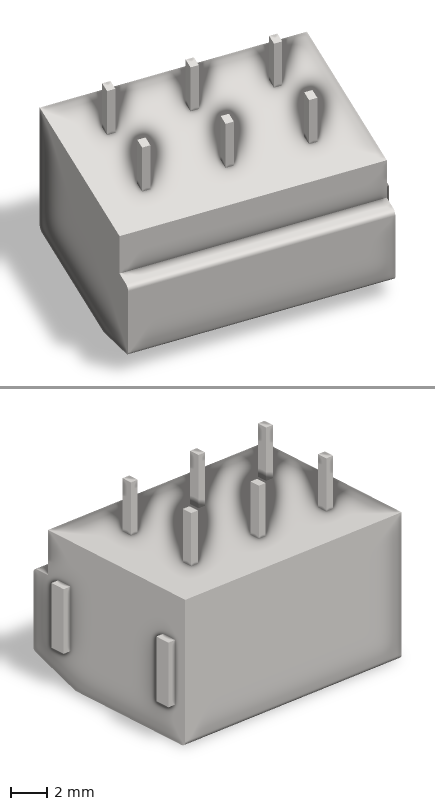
import cadquery as cq
import math

total_width = 12.6
total_depth = 16.5
total_height = 12.4

pin_length = 3.3
tab_thickness = 0.5
body_height = total_height - pin_length
body_depth = total_depth - tab_thickness
top_width = 11.38
step_drop = 2.8
step_height = body_height - step_drop
slope_start = 9.1
slope_angle = 19.0
slope_rise = (total_width - slope_start) * math.tan(math.radians(slope_angle))
edge_radius = 0.3

pin_width = 0.7
pin_depth = 0.5
pin_pitch = 5.0
pin_columns = 2
pin_rows = 3
first_row_y = 2.8
first_column_x = 3.17

tab_width = 1.0
tab_height = 4.01
tab_inset = 0.84


def make_housing():
    """Stepped block with a sloped lower-right edge and three rounded edges."""
    profile = [
        (0, 0),
        (slope_start, 0),
        (total_width, slope_rise),
        (total_width, step_height),
        (top_width, step_height),
        (top_width, body_height),
        (0, body_height),
    ]
    block = cq.Workplane("XZ").polyline(profile).close().extrude(-body_depth)
    rounded_corners = [(0, 0), (total_width, slope_rise), (total_width, step_height)]
    for x, z in rounded_corners:
        edge_middle = (x, body_depth / 2, z)
        block = block.edges(cq.NearestToPointSelector(edge_middle)).fillet(edge_radius)
    return block


def make_pins():
    """Grid of pins standing on the top face."""
    centers = [
        (first_column_x + column * pin_pitch, first_row_y + row * pin_pitch)
        for column in range(pin_columns)
        for row in range(pin_rows)
    ]
    top_plane = cq.Workplane("XY").workplane(offset=body_height)
    return top_plane.pushPoints(centers).rect(pin_width, pin_depth).extrude(pin_length)


def make_tab(left_x):
    """Flat tab on the back face, its top level with the step."""
    tab = cq.Workplane("XY").box(tab_width, tab_thickness, tab_height, centered=False)
    return tab.translate((left_x, body_depth, step_height - tab_height))


result = make_housing().union(make_pins())
for tab_left in (tab_inset, top_width - tab_inset - tab_width):
    result = result.union(make_tab(tab_left))